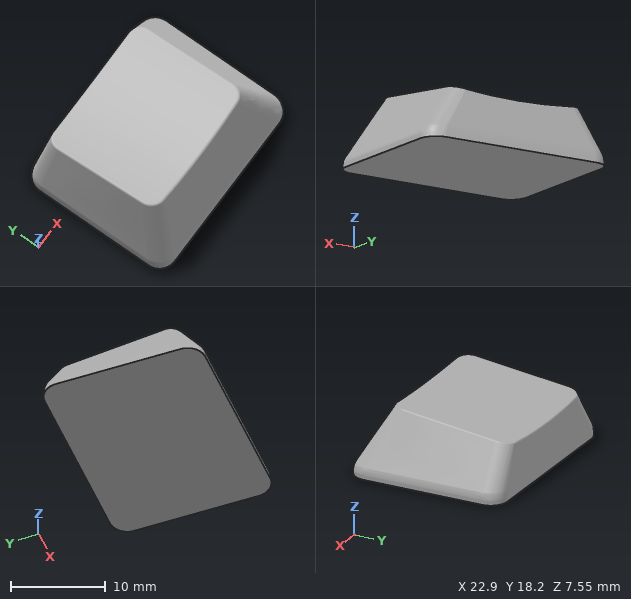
import cadquery as cq
import math

base_length = 22.92
base_width = 18.15
base_corner_radius = 2.02
skirt_height = 0.57
bend_height = 0.75

side_slope = 0.49
front_slope = 0.53
back_slope = 0.087

wall_top_length = 16.05
wall_top_front = -5.32
wall_top_back = 8.62
wall_top_corner_radius = 1.6
wall_top_height = 7.33

dish_radius = 65.32
dish_floor_height = 6.5
dish_tilt = 6.9
top_edge_radius = 0.28

cut_reach = base_length


def rounded_outline(length, front, back, radius, height, fall=0.0):
    """Rounded rectangle in plan; its height, given at y = 0, may fall toward the rear."""
    middle = (front + back) / 2
    tilt = math.atan(fall)
    depth = (back - front) / math.cos(tilt)
    sheet = cq.Workplane().rect(length, depth).extrude(0.23).edges("|Z").fillet(radius)
    wire = sheet.faces("<Z").val().outerWire()
    tilted = wire.rotate(cq.Vector(0, 0, 0), cq.Vector(1, 0, 0), -math.degrees(tilt))
    return tilted.translate(cq.Vector(0, middle, height - fall * middle))


def bend_outline(height, slope_rise):
    """Level outline drawn in as far as the walls lean over slope_rise."""
    front = -base_width / 2 + front_slope * slope_rise
    back = base_width / 2 - back_slope * slope_rise
    length = base_length - 2 * side_slope * slope_rise
    return rounded_outline(length, front, back, base_corner_radius, height)


def make_body():
    """Straight skirt, a parabolic bend tangent to the skirt, then sloped walls."""
    base = bend_outline(0, 0)
    bend_start = bend_outline(skirt_height, 0)
    bend_middle = bend_outline(skirt_height + bend_height / 2, bend_height / 8)
    bend_end = bend_outline(skirt_height + bend_height, bend_height / 2)
    wall_top = rounded_outline(
        wall_top_length,
        wall_top_front,
        wall_top_back,
        wall_top_corner_radius,
        wall_top_height,
        math.tan(math.radians(dish_tilt)),
    )

    skirt = cq.Workplane(cq.Solid.makeLoft([base, bend_start], True))
    bend = cq.Workplane(cq.Solid.makeLoft([bend_start, bend_middle, bend_end]))
    walls = cq.Workplane(cq.Solid.makeLoft([bend_end, wall_top], True))
    return skirt.union(bend).union(walls)


def make_dish_cutter():
    """Cylinder that scoops the tilted, concave top."""
    tilt = math.radians(dish_tilt)
    along = cq.Vector(0, math.cos(tilt), -math.sin(tilt))
    upward = cq.Vector(0, math.sin(tilt), math.cos(tilt))
    axis_point = cq.Vector(0, 0, dish_floor_height) + upward * dish_radius
    start = axis_point - along * cut_reach
    return cq.Solid.makeCylinder(dish_radius, 2 * cut_reach, start, along)


dished = make_body().cut(cq.Workplane(make_dish_cutter()))
result = dished.faces("%CYLINDER").faces(">Z").edges().fillet(top_edge_radius)